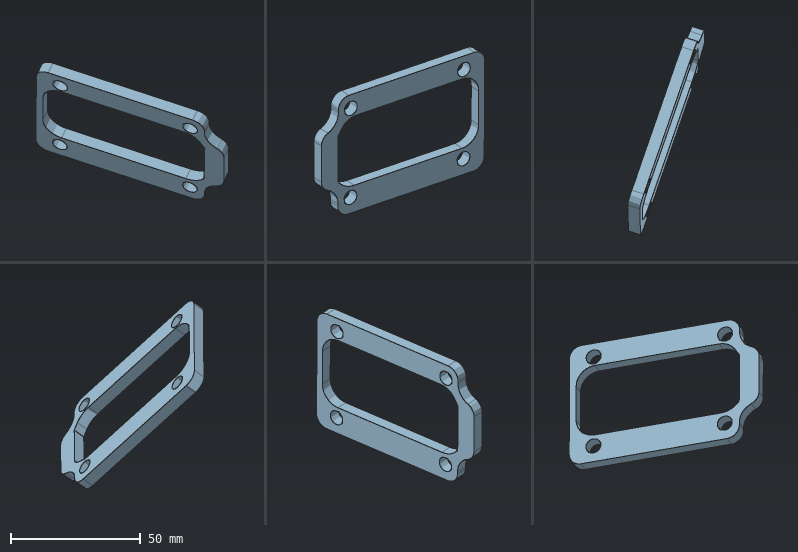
import cadquery as cq
import math

length = 78.0
body_length = 70.0
height = 51.99
thickness = 5.0
corner_radius = 5.0
neck_radius = 8.0
neck_center_z = 20.0
lean_offset = 0.4

hole_diameter = 6.0
hole_left_x = 10.0
hole_spacing_x = 54.0
hole_spacing_z = 39.0
hole_top_margin = 6.0

window_left = 2.9
window_right = 69.9
window_top_margin = 9.9
window_bottom_margin = 11.8
window_radius = 7.8
lower_arc_radius = 9.35
lower_arc_center_x = 62.25
lower_blend_radius = 3.0
upper_arc_center_x = 61.55
upper_arc_end_x = 68.0
upper_chamfer_drop = 3.0

top = height / 2
window_top = top - window_top_margin
window_bottom = -top + window_bottom_margin


def extrude_profile(sketch):
    """Extrude an XZ profile symmetrically about the middle plane."""
    return sketch.extrude(thickness / 2, both=True)


def plate_body():
    """Rounded rectangle with the end tab blended in by concave necks."""
    main = extrude_profile(
        cq.Workplane("XZ").center(body_length / 2, 0).rect(body_length, height)
    ).edges("|Y").fillet(corner_radius)

    neck_center_x = body_length + neck_radius
    tip_center_x = length - corner_radius
    center_distance = neck_radius + corner_radius
    center_dx = neck_center_x - tip_center_x
    center_dz = math.sqrt(center_distance**2 - center_dx**2)
    tip_center_z = neck_center_z - center_dz

    blend_x = tip_center_x + corner_radius * center_dx / center_distance
    blend_z = tip_center_z + corner_radius * center_dz / center_distance
    neck_angle = math.pi + math.atan2(center_dz, center_dx) / 2
    neck_mid_x = neck_center_x + neck_radius * math.cos(neck_angle)
    neck_mid_z = neck_center_z + neck_radius * math.sin(neck_angle)
    tip_angle = math.atan2(center_dz, center_dx) / 2
    tip_mid_x = tip_center_x + corner_radius * math.cos(tip_angle)
    tip_mid_z = tip_center_z + corner_radius * math.sin(tip_angle)

    root_x = body_length - corner_radius
    tab = extrude_profile(
        cq.Workplane("XZ")
        .moveTo(root_x, neck_center_z)
        .lineTo(body_length, neck_center_z)
        .threePointArc((neck_mid_x, neck_mid_z), (blend_x, blend_z))
        .threePointArc((tip_mid_x, tip_mid_z), (length, tip_center_z))
        .lineTo(length, -tip_center_z)
        .threePointArc((tip_mid_x, -tip_mid_z), (blend_x, -blend_z))
        .threePointArc((neck_mid_x, -neck_mid_z), (body_length, -neck_center_z))
        .lineTo(root_x, -neck_center_z)
        .close()
    )
    return main.union(tab)


def window():
    """Window with full left corners and flattened, uneven right corners."""
    diagonal_inset = window_radius * (1 - math.sqrt(0.5))
    left_arc_end_x = window_left + window_radius
    upper_center_z = window_top - window_radius
    lower_center_z = window_bottom + window_radius

    upper_angle = math.acos((upper_arc_end_x - upper_arc_center_x) / window_radius)
    upper_mid_angle = (math.pi / 2 + upper_angle) / 2
    upper_mid = (
        upper_arc_center_x + window_radius * math.cos(upper_mid_angle),
        upper_center_z + window_radius * math.sin(upper_mid_angle),
    )
    upper_end_z = upper_center_z + window_radius * math.sin(upper_angle)

    lower_arc_center_z = window_bottom + lower_arc_radius
    blend_center_x = window_right - lower_blend_radius
    center_distance = lower_arc_radius - lower_blend_radius
    lower_angle = -math.acos((blend_center_x - lower_arc_center_x) / center_distance)
    blend_center_z = lower_arc_center_z + center_distance * math.sin(lower_angle)
    lower_mid_angle = (-math.pi / 2 + lower_angle) / 2
    lower_mid = (
        lower_arc_center_x + lower_arc_radius * math.cos(lower_mid_angle),
        lower_arc_center_z + lower_arc_radius * math.sin(lower_mid_angle),
    )
    lower_end = (
        lower_arc_center_x + lower_arc_radius * math.cos(lower_angle),
        lower_arc_center_z + lower_arc_radius * math.sin(lower_angle),
    )
    blend_mid = (
        blend_center_x + lower_blend_radius * math.cos(lower_angle / 2),
        blend_center_z + lower_blend_radius * math.sin(lower_angle / 2),
    )

    return extrude_profile(
        cq.Workplane("XZ")
        .moveTo(left_arc_end_x, window_top)
        .lineTo(upper_arc_center_x, window_top)
        .threePointArc(upper_mid, (upper_arc_end_x, upper_end_z))
        .lineTo(window_right, upper_end_z - upper_chamfer_drop)
        .lineTo(window_right, blend_center_z)
        .threePointArc(blend_mid, lower_end)
        .threePointArc(lower_mid, (lower_arc_center_x, window_bottom))
        .lineTo(left_arc_end_x, window_bottom)
        .threePointArc(
            (window_left + diagonal_inset, window_bottom + diagonal_inset),
            (window_left, lower_center_z),
        )
        .lineTo(window_left, upper_center_z)
        .threePointArc(
            (window_left + diagonal_inset, window_top - diagonal_inset),
            (left_arc_end_x, window_top),
        )
        .close()
    )


def bolt_holes():
    """Four through holes on a rectangular pattern."""
    center_x = hole_left_x + hole_spacing_x / 2
    center_z = top - hole_top_margin - hole_spacing_z / 2
    return extrude_profile(
        cq.Workplane("XZ")
        .center(center_x, center_z)
        .rect(hole_spacing_x, hole_spacing_z, forConstruction=True)
        .vertices()
        .circle(hole_diameter / 2)
    )


lean_angle = math.degrees(math.asin(lean_offset / height))
plate = plate_body().cut(window()).cut(bolt_holes())
result = plate.rotate((0, 0, 0), (1, 0, 0), -lean_angle)